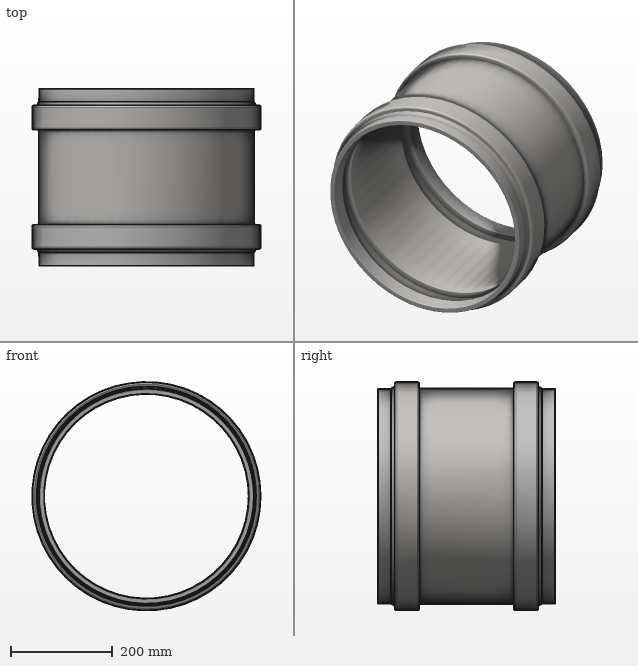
import cadquery as cq
length = 349.0
half_length = length / 2

band_radius = 225.0
collar_radius = 216.0
tube_radius = 212.5
spigot_radius = 211.5
bore_radius = 201.0
seal_groove_radius = 213.5

collar_start = 26.0
band_start = 33.5
band_end = 81.5
seal_groove_start = band_start
seal_groove_end = 69.5

band_round = 4.0
edge_round = 1.5
tolerance = 0.05

collar_y = half_length - collar_start
band_outer_y = half_length - band_start
band_inner_y = half_length - band_end

outside = [
    (tube_radius, band_inner_y),
    (band_radius, band_inner_y),
    (band_radius, band_outer_y),
    (collar_radius, band_outer_y),
    (spigot_radius, collar_y),
    (spigot_radius, half_length),
]


def mirrored(points):
    """Continue an outline across the middle plane, in reverse order."""
    return [(radius, -y) for radius, y in reversed(points)]


def ring(profile):
    """Revolve a closed (radius, y) outline about the Y axis."""
    return cq.Workplane("XY").polyline(profile).close().revolve(360, (0, 0, 0), (0, 1, 0))


def seal_groove():
    """Ring of space for the seal behind the mouth at the +Y end."""
    near_y = half_length - seal_groove_start
    far_y = half_length - seal_groove_end
    return ring([
        (bore_radius, near_y),
        (seal_groove_radius, near_y),
        (seal_groove_radius, far_y),
        (bore_radius, far_y),
    ])


bore_line = [(bore_radius, half_length), (bore_radius, -half_length)]
body = ring(mirrored(outside) + outside + bore_line)

groove = seal_groove()
blank = body.cut(groove).cut(groove.mirror("XZ"))


def round_circles(part, circle_radius, y_positions, round_radius):
    """Round the circular edges of one radius at the given distances from the middle."""
    def matches(edge):
        on_radius = abs(edge.radius() - circle_radius) < tolerance
        return on_radius and any(abs(abs(edge.Center().y) - y) < tolerance for y in y_positions)

    edges = part.edges("%CIRCLE").filter(matches)
    return edges.fillet(round_radius)


rounded = round_circles(blank, band_radius, [band_inner_y, band_outer_y], band_round)
rounded = round_circles(rounded, spigot_radius, [half_length, collar_y], edge_round)
rounded = round_circles(rounded, tube_radius, [band_inner_y], edge_round)
bore_edges = [half_length, half_length - seal_groove_start, half_length - seal_groove_end]
result = round_circles(rounded, bore_radius, bore_edges, edge_round)